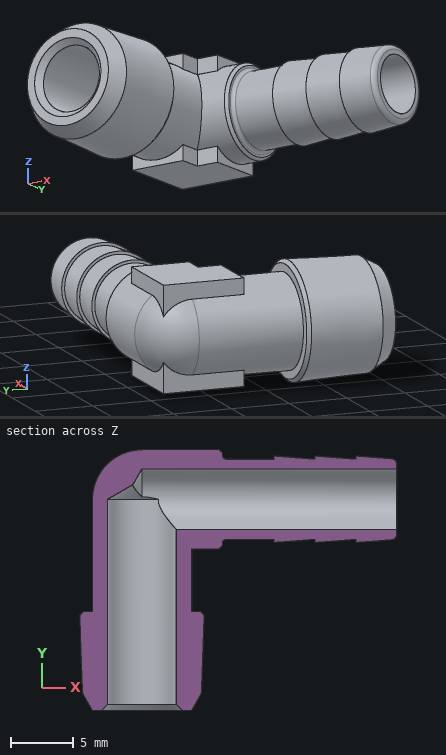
import cadquery as cq
import math

OVERALL_LENGTH = 25.5
BODY_RADIUS = 4.0

MALE_DIAMETER = 10.03
MALE_RADIUS = MALE_DIAMETER / 2
MALE_START = 9.0
MALE_END = 17.0
MALE_BACK_CHAMFER = 0.3
MALE_NOSE_LENGTH = 1.4
MALE_NOSE_RADIUS = 4.8
MALE_TIP_RADIUS = BODY_RADIUS

STEM_END = OVERALL_LENGTH - MALE_RADIUS
STEM_RADIUS = 3.25
COLLAR_END = 6.48
COLLAR_CHAMFER = 0.25
STEM_FILLET = 0.3
BARB_START = 10.6
BARB_PITCH = 3.3
BARB_COUNT = 3
BARB_RADIUS = 3.5
BARB_LOW_RADIUS = STEM_RADIUS
TIP_FILLET = 0.43

BLOCK_BACK = 2.5
BLOCK_FRONT = 4.46
BLOCK_NOTCH = 2.47
BLOCK_HEIGHT = 8.98

MALE_BORE_RADIUS = 2.75
MALE_BORE_CHAMFER = 0.5
STEM_BORE_RADIUS = 2.42
DRILL_HALF_ANGLE = math.radians(60)


def revolve_on_x(profile):
    """Revolve a closed (axial distance, radius) profile around the X axis."""
    return profile.close().revolve(360, (0, 0, 0), (1, 0, 0))


def turn_to_male_arm(solid):
    """Swing a solid from the +X arm to the -Y arm."""
    return solid.rotate((0, 0, 0), (0, 0, 1), -90)


def make_male_arm():
    profile = (
        cq.Workplane("XY")
        .lineTo(0, BODY_RADIUS)
        .lineTo(MALE_START, BODY_RADIUS)
        .lineTo(MALE_START, MALE_RADIUS - MALE_BACK_CHAMFER)
        .lineTo(MALE_START + MALE_BACK_CHAMFER, MALE_RADIUS)
        .lineTo(MALE_END - MALE_NOSE_LENGTH, MALE_NOSE_RADIUS)
        .lineTo(MALE_END, MALE_TIP_RADIUS)
        .lineTo(MALE_END, 0)
    )
    return turn_to_male_arm(revolve_on_x(profile))


def make_stem_arm():
    fillet_top = STEM_RADIUS + STEM_FILLET
    fillet_sag = STEM_FILLET * (1 - math.sqrt(0.5))
    profile = (
        cq.Workplane("XY")
        .lineTo(0, BODY_RADIUS)
        .lineTo(COLLAR_END - COLLAR_CHAMFER, BODY_RADIUS)
        .lineTo(COLLAR_END, BODY_RADIUS - COLLAR_CHAMFER)
        .lineTo(COLLAR_END, fillet_top)
        .threePointArc(
            (COLLAR_END + fillet_sag, STEM_RADIUS + fillet_sag),
            (COLLAR_END + STEM_FILLET, STEM_RADIUS),
        )
        .lineTo(BARB_START, STEM_RADIUS)
    )
    for barb in range(BARB_COUNT):
        start = BARB_START + barb * BARB_PITCH
        end = min(start + BARB_PITCH, STEM_END)
        profile = profile.lineTo(start, BARB_RADIUS).lineTo(end, BARB_LOW_RADIUS)
    profile = profile.lineTo(STEM_END, 0)
    return revolve_on_x(profile).faces(">X").edges().fillet(TIP_FILLET)


def make_wrench_block():
    return (
        cq.Workplane("XY")
        .moveTo(-BLOCK_BACK, BLOCK_BACK)
        .lineTo(BLOCK_FRONT, BLOCK_BACK)
        .lineTo(BLOCK_FRONT, -BLOCK_NOTCH)
        .lineTo(BLOCK_NOTCH, -BLOCK_NOTCH)
        .lineTo(BLOCK_NOTCH, -BLOCK_FRONT)
        .lineTo(-BLOCK_BACK, -BLOCK_FRONT)
        .close()
        .extrude(BLOCK_HEIGHT / 2, both=True)
    )


def make_bore(radius, length, mouth_chamfer=0):
    """Bore cutter along +X whose drill point reaches past the elbow centre."""
    profile = (
        cq.Workplane("XY")
        .moveTo(-radius / math.tan(DRILL_HALF_ANGLE), 0)
        .lineTo(0, radius)
        .lineTo(length - mouth_chamfer, radius)
    )
    if mouth_chamfer:
        profile = profile.lineTo(length, radius + mouth_chamfer)
    return revolve_on_x(profile.lineTo(length, 0))


elbow_corner = cq.Workplane("XY").sphere(BODY_RADIUS)
male_bore = turn_to_male_arm(make_bore(MALE_BORE_RADIUS, MALE_END, MALE_BORE_CHAMFER))
stem_bore = make_bore(STEM_BORE_RADIUS, STEM_END)

result = (
    make_male_arm()
    .union(make_stem_arm())
    .union(elbow_corner)
    .union(make_wrench_block())
    .cut(male_bore)
    .cut(stem_bore)
)